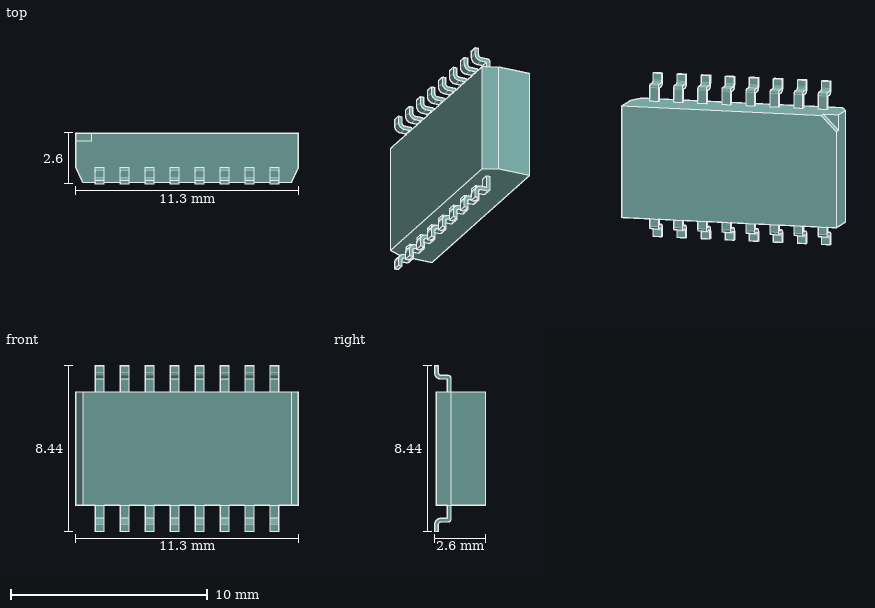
import cadquery as cq

body_length = 11.33
body_height = 5.77
body_depth = 2.52
overall_depth = 2.6
overall_height = 8.44
body_front = overall_depth - body_depth
body_back = overall_depth

slope_x = 0.36
slope_y = 0.76

notch_leg = 0.8
notch_depth = 0.4

leads_per_row = 8
lead_pitch = 1.27
lead_width = 0.46
lead_thickness = 0.2
lead_back = body_front + slope_y
shelf_inner_z = 0.65
shoulder_radius = 0.15
foot_inner_radius = 0.13
foot_outer_radius = foot_inner_radius + lead_thickness
lead_embed = 0.2


def make_body():
    half_length = body_length / 2
    outline = [
        (-half_length, body_back),
        (half_length, body_back),
        (half_length, body_front + slope_y),
        (half_length - slope_x, body_front),
        (-half_length + slope_x, body_front),
        (-half_length, body_front + slope_y),
    ]
    return (
        cq.Workplane("XY", origin=(0, 0, -body_height / 2))
        .polyline(outline)
        .close()
        .extrude(body_height)
    )


def make_corner_notch():
    left = -body_length / 2
    top = body_height / 2
    return (
        cq.Workplane("XZ", origin=(0, body_back, 0))
        .polyline([(left, top), (left + notch_leg, top), (left, top - notch_leg)])
        .close()
        .extrude(notch_depth)
    )


def make_top_lead(x_center):
    body_top = body_height / 2
    root = body_top - lead_embed
    tip = overall_height / 2
    shelf_near = body_top + shelf_inner_z
    shelf_far = shelf_near + lead_thickness
    return (
        cq.Workplane("YZ", origin=(x_center - lead_width / 2, 0, 0))
        .moveTo(lead_back, root)
        .lineTo(lead_back, shelf_far - shoulder_radius)
        .radiusArc((lead_back - shoulder_radius, shelf_far), -shoulder_radius)
        .lineTo(foot_outer_radius, shelf_far)
        .radiusArc((lead_thickness, shelf_far + foot_inner_radius), foot_inner_radius)
        .lineTo(lead_thickness, tip)
        .lineTo(0, tip)
        .lineTo(0, shelf_near + foot_outer_radius)
        .radiusArc((foot_outer_radius, shelf_near), -foot_outer_radius)
        .lineTo(lead_back - lead_thickness, shelf_near)
        .lineTo(lead_back - lead_thickness, root)
        .close()
        .extrude(lead_width)
    )


result = make_body().cut(make_corner_notch())
first_lead_x = -(leads_per_row - 1) * lead_pitch / 2
for index in range(leads_per_row):
    top_lead = make_top_lead(first_lead_x + index * lead_pitch)
    result = result.union(top_lead).union(top_lead.mirror("XY"))